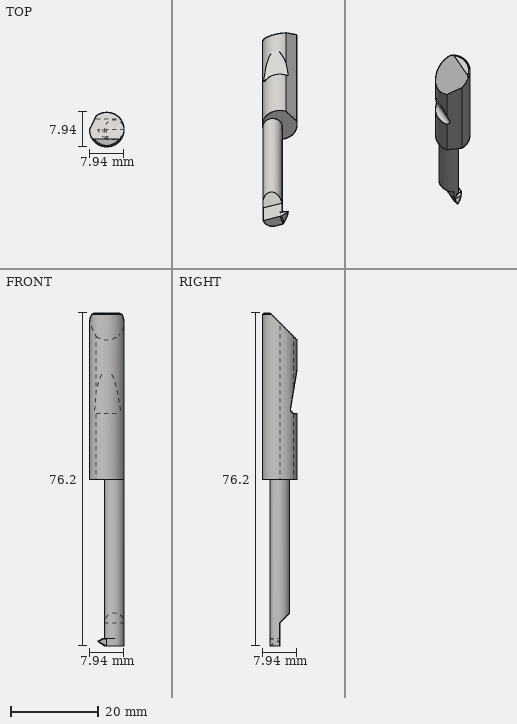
import cadquery as cq
import math

shank_diameter = 7.94
shank_length = 38.1
shank_radius = shank_diameter / 2
shank_chamfer = 0.35
end_slope_start_y = -2.2

side_flat_lean = 26

notch_bottom_z = 15.1
notch_radius = 1.0
notch_depth = 1.5
notch_slope = 9.5

neck_length = 38.1
neck_diameter = 4.5
neck_radius = neck_diameter / 2
neck_center_x = shank_radius - neck_radius
tip_z = -neck_length
relief_height = 5.3

point_x = -2.06
point_height = 1.07
upper_flank_angle = 30
head_height = 1.75
lower_corner_x = -0.45
head_flat_left_x = -0.1
head_flat_right_x = 1.72
relief_arc_radius = 6.0
clearance_angle = 5


def make_shank():
    shank = cq.Workplane("XY").circle(shank_radius).extrude(shank_length)
    return shank.faces(">Z").chamfer(shank_chamfer)


def end_slope_cutter():
    run = shank_radius - end_slope_start_y
    return (
        cq.Workplane("YZ")
        .moveTo(end_slope_start_y, shank_length)
        .lineTo(shank_radius, shank_length - run)
        .lineTo(shank_radius, shank_length)
        .close()
        .extrude(shank_radius, both=True)
    )


def side_flat_cutter():
    flat_distance = shank_radius * math.cos(math.radians(side_flat_lean))
    cutter = (
        cq.Workplane("XY")
        .box(shank_radius, shank_diameter, shank_length, centered=(False, True, False))
        .translate((flat_distance, 0, 0))
    )
    return cutter.rotate((0, 0, 0), (0, 0, 1), 180 - side_flat_lean)


def notch_cutter():
    """Profile in YZ: level lower wall, a round, then a ramp tangent to it."""
    slope = math.radians(notch_slope)
    floor_y = shank_radius - notch_depth
    center_y = floor_y + notch_radius
    center_z = notch_bottom_z + notch_radius
    ramp_start_y = center_y - notch_radius * math.cos(slope)
    ramp_start_z = center_z + notch_radius * math.sin(slope)
    ramp_end_z = ramp_start_z + (shank_radius - ramp_start_y) / math.tan(slope)
    return (
        cq.Workplane("YZ")
        .moveTo(shank_radius, notch_bottom_z)
        .lineTo(center_y, notch_bottom_z)
        .radiusArc((ramp_start_y, ramp_start_z), notch_radius)
        .lineTo(shank_radius, ramp_end_z)
        .close()
        .extrude(shank_radius, both=True)
    )


def make_neck():
    """Round bar, half cut away near its end and notched where the point sits."""
    neck = (
        cq.Workplane("XY")
        .center(neck_center_x, 0)
        .circle(neck_radius)
        .extrude(-neck_length)
    )
    relief_top_z = tip_z + relief_height
    relief = (
        cq.Workplane("YZ")
        .moveTo(0, tip_z)
        .lineTo(0, relief_top_z)
        .lineTo(neck_radius, relief_top_z + neck_radius)
        .lineTo(neck_radius, tip_z)
        .close()
        .extrude(shank_radius, both=True)
    )
    point_seat = (
        cq.Workplane("XY", origin=(head_flat_left_x, 0, tip_z))
        .box(2 * neck_radius, neck_diameter, 2 * head_height)
        .translate((-neck_radius, 0, 0))
    )
    return neck.cut(relief).cut(point_seat)


def make_head():
    """Tapering point joined to a square block, kept only inside the relief outline."""
    head_flat_y = -math.sqrt(neck_radius**2 - (head_flat_right_x - neck_center_x) ** 2)
    upper_rise = head_height - point_height
    upper_corner_x = point_x + upper_rise / math.tan(math.radians(upper_flank_angle))
    top_z = tip_z + head_height
    block_width = head_flat_right_x - head_flat_left_x
    point = (
        cq.Workplane("XZ")
        .moveTo(point_x, tip_z + point_height)
        .lineTo(upper_corner_x, top_z)
        .lineTo(head_flat_right_x, top_z)
        .lineTo(head_flat_right_x, tip_z)
        .lineTo(lower_corner_x, tip_z)
        .close()
        .extrude(-head_flat_y, taper=clearance_angle)
    )
    block = (
        cq.Workplane("XY", origin=(head_flat_left_x, head_flat_y, tip_z))
        .box(block_width, -head_flat_y, head_height, centered=False)
    )
    plan = (
        cq.Workplane("XY", origin=(0, 0, tip_z))
        .moveTo(point_x, 0)
        .radiusArc((head_flat_left_x, head_flat_y), -relief_arc_radius)
        .lineTo(head_flat_right_x, head_flat_y)
        .lineTo(head_flat_right_x, 0)
        .close()
        .extrude(head_height)
    )
    return point.intersect(plan).union(block)


shank = make_shank().cut(end_slope_cutter()).cut(side_flat_cutter()).cut(notch_cutter())
result = shank.union(make_neck()).union(make_head())